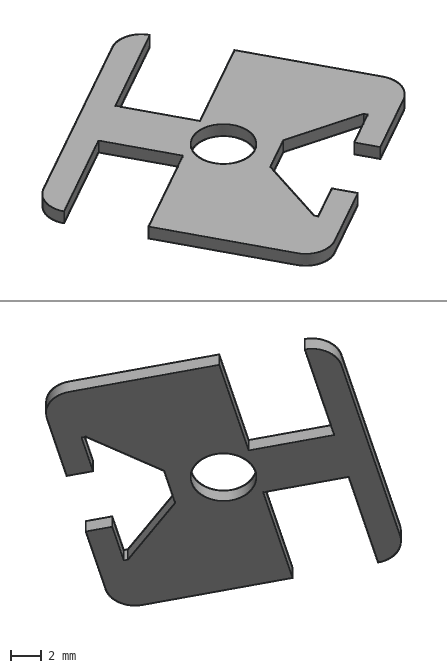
import cadquery as cq

side = 20
thickness = 1
corner_radius = 2
half = side / 2

bar_width = 2
body_left = -2.2
neck_width = 3.95

hole_diameter = 4.32

slot_floor_x = 3.65
slot_floor_width = 3
lip_thickness = 1.8
slot_mouth_width = 5.2
slot_inner_width = 11.52

lip_x = half - lip_thickness
flank_rise = (slot_inner_width - slot_floor_width) / 2
flank_end_x = slot_floor_x + flank_rise


def make_plate():
    """Square plate with rounded vertical corners."""
    plate = cq.Workplane("XY").rect(side, side).extrude(thickness)
    return plate.edges("|Z").fillet(corner_radius)


def make_side_slot(direction):
    """Rectangular slot from the neck to the +Y (1) or -Y (-1) edge."""
    bar_right = -half + bar_width
    return (
        cq.Workplane("XY")
        .moveTo(bar_right, direction * neck_width / 2)
        .lineTo(body_left, direction * neck_width / 2)
        .lineTo(body_left, direction * half)
        .lineTo(bar_right, direction * half)
        .close()
        .extrude(thickness)
    )


def make_flared_slot():
    """Slot that widens from its floor to the lips, open through a narrower mouth."""
    upper_outline = [
        (slot_floor_x, slot_floor_width / 2),
        (flank_end_x, slot_inner_width / 2),
        (lip_x, slot_inner_width / 2),
        (lip_x, slot_mouth_width / 2),
        (half, slot_mouth_width / 2),
    ]
    lower_outline = [(x, -y) for x, y in reversed(upper_outline)]
    return cq.Workplane("XY").polyline(upper_outline + lower_outline).close().extrude(thickness)


result = make_plate()
for direction in (1, -1):
    result = result.cut(make_side_slot(direction))
result = result.cut(make_flared_slot())
result = result.cut(cq.Workplane("XY").circle(hole_diameter / 2).extrude(thickness))